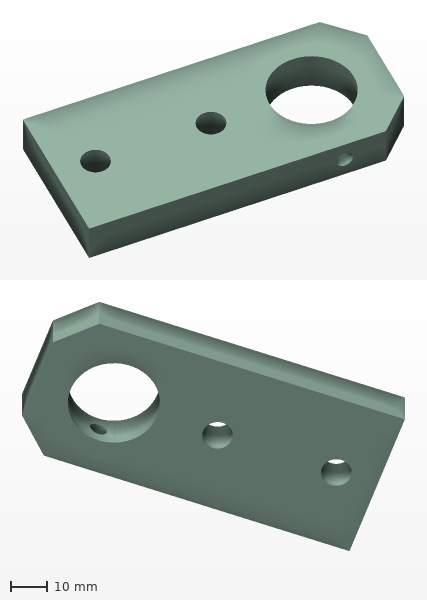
import cadquery as cq

width = 45.0
length = 100.0
thickness = 12.0
corner_chamfer = 10.0

bore_diameter = 25.5
bore_y = length / 2 - width / 2

mount_diameter = 8.5
mount_end_distance = 12.0
mount_spacing = 35.0
first_mount_y = -length / 2 + mount_end_distance
mount_positions = [(0, first_mount_y), (0, first_mount_y + mount_spacing)]

screw_diameter = 5.0

plate = (
    cq.Workplane("XY")
    .box(width, length, thickness)
    .edges("|Z and >Y")
    .chamfer(corner_chamfer)
)

bore = (
    cq.Workplane("XY", origin=(0, bore_y, -thickness / 2))
    .circle(bore_diameter / 2)
    .extrude(thickness)
)

mount_holes = (
    cq.Workplane("XY", origin=(0, 0, -thickness / 2))
    .pushPoints(mount_positions)
    .circle(mount_diameter / 2)
    .extrude(thickness)
)

screw_hole = (
    cq.Workplane("YZ", origin=(0, bore_y, 0))
    .circle(screw_diameter / 2)
    .extrude(width / 2)
)

result = plate.cut(bore).cut(mount_holes).cut(screw_hole)